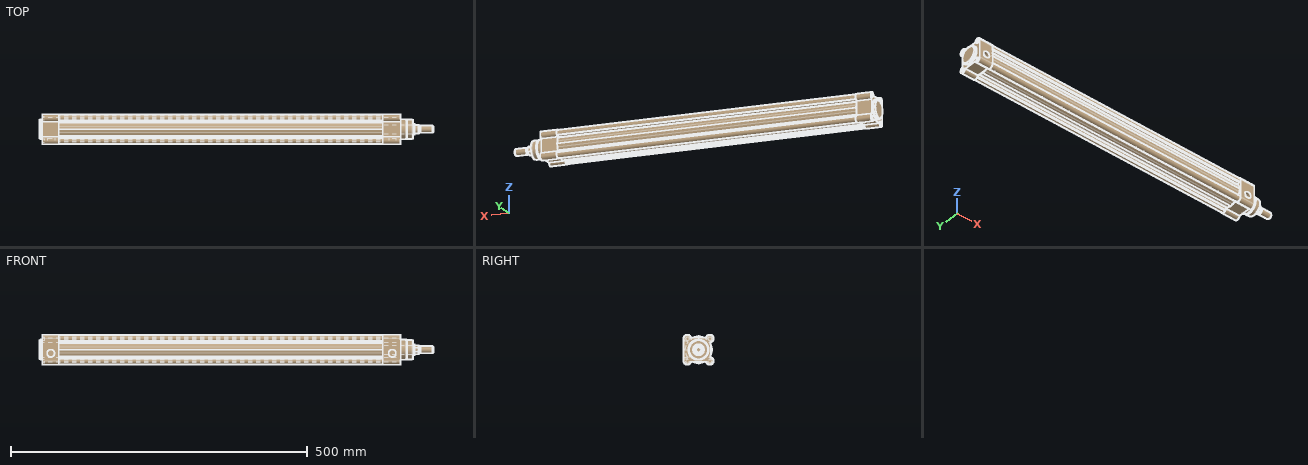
import cadquery as cq
import math

TOTAL_LENGTH = 664.0
SIDE = 51.0
HALF_SIDE = SIDE / 2
LOBE_RADIUS = 6.5
SCREW_OFFSET = HALF_SIDE - LOBE_RADIUS

SPIGOT_LENGTH = 4.5
REAR_CAP_LENGTH = 28.0
FRONT_CAP_LENGTH = 30.0
COLLAR_LENGTH = 21.0
WIPER_LENGTH = 2.5
THREAD_LENGTH = 22.0
NECK_LENGTH = 2.5
BARREL_START = SPIGOT_LENGTH + REAR_CAP_LENGTH
BARREL_END = 578.0
FRONT_CAP_END = BARREL_END + FRONT_CAP_LENGTH
COLLAR_END = FRONT_CAP_END + COLLAR_LENGTH
WIPER_END = COLLAR_END + WIPER_LENGTH
THREAD_START = TOTAL_LENGTH - THREAD_LENGTH
SHOULDER_X = THREAD_START - NECK_LENGTH

RECESS_LEVEL = 20.5
SPIGOT_RADIUS = 17.0
SPIGOT_CHAMFER_LENGTH = 2.5
SPIGOT_CHAMFER_DEPTH = 1.65
SCREW_RADIUS = 3.0
SCREW_RECESS_DEPTH = 4.0
PORT_RADIUS = 6.3
PORT_DEPTH = 10.0
PORT_DROP = 6.0
REAR_PORT_X = 19.0
FRONT_PORT_X = 594.0

COLLAR_RADIUS = 17.0
COLLAR_NOSE_RADIUS = 16.5
COLLAR_CHAMFER_LENGTH = 2.5
COLLAR_CHAMFER_DEPTH = 0.5
COLLAR_BASE_LENGTH = 9.0
COLLAR_GROOVE_START = FRONT_CAP_END + COLLAR_BASE_LENGTH
COLLAR_GROOVE_WIDTH = 2.0
COLLAR_GROOVE_DEPTH = 1.0

BARREL_RADIUS = 22.5
BARREL_LOBE_RADIUS = 6.0
RIDGE_HEIGHT = 23.0
GROOVE_INNER = 10.0
GROOVE_OUTER = 15.0
GROOVE_SHOULDER = 21.0
GROOVE_FLOOR = 17.0
RIDGE_HALF_ANGLE = math.acos(BARREL_RADIUS / RIDGE_HEIGHT)

ROD_RADIUS = 8.0
WIPER_RADIUS = 9.0
NECK_RADIUS = 5.0
THREAD_RADIUS = 6.3
ROD_CHAMFER = 1.0
THREAD_CHAMFER = 2.0
ACROSS_FLATS = 14.5

CORNERS = [(y * SCREW_OFFSET, z * SCREW_OFFSET) for y in (-1, 1) for z in (-1, 1)]


def plane_at(x):
    """Plane across the axis at x; its local axes are Y and Z, and it extrudes towards +X."""
    return cq.Workplane("YZ", origin=(x, 0, 0))


def revolve_about_x(profile):
    """Solid turned about the X axis from (x, radius) points, starting on the -Y side."""
    points = [(x, -radius) for x, radius in profile]
    return cq.Workplane("XY").polyline(points).close().revolve(360, (0, 0, 0), (1, 0, 0))


def cap_block(start, length):
    """Cap with a flat port side at -Y and recessed sides between round corner lobes elsewhere."""
    lobes = plane_at(start).pushPoints(CORNERS).circle(LOBE_RADIUS).extrude(length)
    core = plane_at(start).rect(2 * RECESS_LEVEL, 2 * RECESS_LEVEL).extrude(length)
    port_side = (
        plane_at(start)
        .center(-(HALF_SIDE + SCREW_OFFSET) / 2, 0)
        .rect(LOBE_RADIUS, 2 * SCREW_OFFSET)
        .extrude(length)
    )
    return core.union(lobes).union(port_side)


def port(x):
    """Blind round port drilled from the -Y side."""
    return (
        cq.Workplane("XZ", origin=(x, -HALF_SIDE, -PORT_DROP))
        .circle(PORT_RADIUS)
        .extrude(-PORT_DEPTH)
    )


def make_rear_cap():
    spigot = revolve_about_x([
        (0, 0),
        (0, SPIGOT_RADIUS - SPIGOT_CHAMFER_DEPTH),
        (SPIGOT_CHAMFER_LENGTH, SPIGOT_RADIUS),
        (SPIGOT_LENGTH, SPIGOT_RADIUS),
        (SPIGOT_LENGTH, 0),
    ])
    screw_recesses = (
        plane_at(SPIGOT_LENGTH).pushPoints(CORNERS).circle(SCREW_RADIUS).extrude(SCREW_RECESS_DEPTH)
    )
    cap = cap_block(SPIGOT_LENGTH, REAR_CAP_LENGTH).union(spigot)
    return cap.cut(screw_recesses).cut(port(REAR_PORT_X))


def barrel_ridge(length):
    """Gable on the +Z side whose two faces run off tangent to the round barrel."""
    foot_y = BARREL_RADIUS * math.sin(RIDGE_HALF_ANGLE)
    foot_z = BARREL_RADIUS * math.cos(RIDGE_HALF_ANGLE)
    return (
        plane_at(BARREL_START)
        .polyline([(0, 0), (foot_y, foot_z), (0, RIDGE_HEIGHT), (-foot_y, foot_z)])
        .close()
        .extrude(length)
    )


def barrel_groove(length):
    """V groove on the +Z side, between the round barrel and the +Y lobe."""
    middle = (GROOVE_INNER + GROOVE_OUTER) / 2
    return (
        plane_at(BARREL_START)
        .polyline([
            (GROOVE_INNER, HALF_SIDE),
            (GROOVE_INNER, GROOVE_SHOULDER),
            (middle, GROOVE_FLOOR),
            (GROOVE_OUTER, GROOVE_SHOULDER),
            (GROOVE_OUTER, HALF_SIDE),
        ])
        .close()
        .extrude(length)
    )


def make_barrel():
    """Round barrel with four corner lobes, and a ridge and two V grooves along each side."""
    length = BARREL_END - BARREL_START
    barrel = plane_at(BARREL_START).circle(BARREL_RADIUS).extrude(length)
    lobes = plane_at(BARREL_START).pushPoints(CORNERS).circle(BARREL_LOBE_RADIUS).extrude(length)
    barrel = barrel.union(lobes)
    ridge = barrel_ridge(length)
    groove = barrel_groove(length)
    groove_pair = groove.union(groove.mirror("XZ"))
    for side in range(4):
        turn = 90 * side
        barrel = barrel.union(ridge.rotate((0, 0, 0), (1, 0, 0), turn))
        barrel = barrel.cut(groove_pair.rotate((0, 0, 0), (1, 0, 0), turn))
    return barrel


def make_front_cap():
    groove_end = COLLAR_GROOVE_START + COLLAR_GROOVE_WIDTH
    collar = revolve_about_x([
        (FRONT_CAP_END, 0),
        (FRONT_CAP_END, COLLAR_RADIUS),
        (COLLAR_GROOVE_START, COLLAR_RADIUS),
        (COLLAR_GROOVE_START, COLLAR_RADIUS - COLLAR_GROOVE_DEPTH),
        (groove_end, COLLAR_RADIUS - COLLAR_GROOVE_DEPTH),
        (groove_end, COLLAR_NOSE_RADIUS),
        (COLLAR_END - COLLAR_CHAMFER_LENGTH, COLLAR_NOSE_RADIUS),
        (COLLAR_END, COLLAR_NOSE_RADIUS - COLLAR_CHAMFER_DEPTH),
        (COLLAR_END, 0),
    ])
    wiper = plane_at(COLLAR_END).circle(WIPER_RADIUS).extrude(WIPER_LENGTH)
    rod_bore = plane_at(BARREL_END).circle(ROD_RADIUS).extrude(WIPER_END - BARREL_END)
    cap = cap_block(BARREL_END, FRONT_CAP_LENGTH).union(collar).union(wiper)
    return cap.cut(rod_bore).cut(port(FRONT_PORT_X))


def make_rod():
    rod = revolve_about_x([
        (BARREL_END, 0),
        (BARREL_END, ROD_RADIUS),
        (SHOULDER_X - ROD_CHAMFER, ROD_RADIUS),
        (SHOULDER_X, ROD_RADIUS - ROD_CHAMFER),
        (SHOULDER_X, NECK_RADIUS),
        (THREAD_START, NECK_RADIUS),
        (THREAD_START, THREAD_RADIUS),
        (TOTAL_LENGTH - THREAD_CHAMFER, THREAD_RADIUS),
        (TOTAL_LENGTH, THREAD_RADIUS - THREAD_CHAMFER),
        (TOTAL_LENGTH, 0),
    ])
    flats_length = THREAD_START - WIPER_END
    around_rod = plane_at(WIPER_END).rect(SIDE, SIDE).extrude(flats_length)
    between_flats = plane_at(WIPER_END).rect(ACROSS_FLATS, SIDE).extrude(flats_length)
    return rod.cut(around_rod.cut(between_flats))


rear_cap = make_rear_cap()
barrel = make_barrel()
front_cap = make_front_cap()
rod = make_rod()

result = cq.Compound.makeCompound([rear_cap.val(), barrel.val(), front_cap.val(), rod.val()])